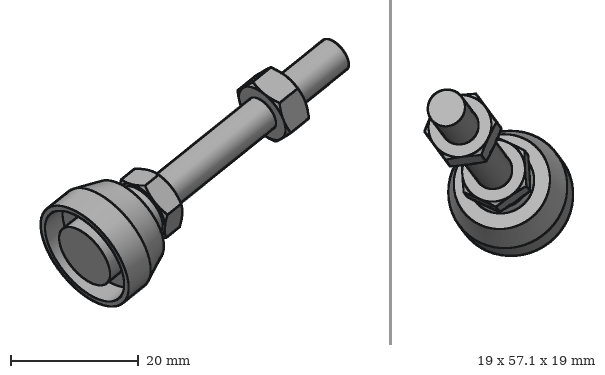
import cadquery as cq
import math

TOTAL_LENGTH = 57.15

PAD_RADIUS = 9.5
PAD_SHOULDER_RADIUS = 7.65
PAD_RIM_HEIGHT = 5.05
PAD_HEIGHT = 10.0
RECESS_RADIUS = 8.5
RECESS_DEPTH = 4.0
BOSS_RADIUS = 5.5

NECK_RADIUS = 4.5
FLARE_RADIUS = 5.15
NECK_START = 11.05
COLLAR_START = 13.05
COLLAR_THICKNESS = 4.0
COLLAR_ANGLE = 3.0
ROD_RADIUS = 3.0

ACROSS_FLATS = 10.0
CORNER_RADIUS = ACROSS_FLATS / math.sqrt(3)
HEX_CHAMFER_ANGLE = 30.0

NUT_START = 40.55
NUT_THICKNESS = 5.05
NUT_ANGLE = 35.0


def revolve_profile(points):
    """Revolve a closed (radius, Y) outline about the Y axis."""
    return cq.Workplane("XY").polyline(points).close().revolve(360, (0, 0, 0), (0, 1, 0))


def cylinder(radius, start, end):
    """Cylinder along Y between two heights."""
    return revolve_profile([(0, start), (radius, start), (radius, end), (0, end)])


def chamfered_hexagon(start, thickness, angle):
    """Hexagonal prism along Y with conically chamfered corners.

    At zero angle a corner points along +Z; a positive angle turns it toward +X.
    """
    prism = (
        cq.Workplane("XZ", origin=(0, start, 0))
        .polygon(6, 2 * CORNER_RADIUS)
        .extrude(-thickness)
        .rotate((0, 0, 0), (0, 1, 0), 30 + angle)
    )
    end = start + thickness
    face_radius = ACROSS_FLATS / 2
    chamfer = (CORNER_RADIUS - face_radius) * math.tan(math.radians(HEX_CHAMFER_ANGLE))
    envelope = revolve_profile([
        (0, start),
        (face_radius, start),
        (CORNER_RADIUS, start + chamfer),
        (CORNER_RADIUS, end - chamfer),
        (face_radius, end),
        (0, end),
    ])
    return prism.intersect(envelope)


def make_stud():
    """Threaded rod with its hexagonal collar, neck and flared base resting on the pad."""
    foot = revolve_profile([
        (0, PAD_HEIGHT),
        (FLARE_RADIUS, PAD_HEIGHT),
        (NECK_RADIUS, NECK_START),
        (NECK_RADIUS, COLLAR_START),
        (0, COLLAR_START),
    ])
    collar = chamfered_hexagon(COLLAR_START, COLLAR_THICKNESS, COLLAR_ANGLE)
    rod = cylinder(ROD_RADIUS, COLLAR_START + COLLAR_THICKNESS, TOTAL_LENGTH)
    return foot.union(collar).union(rod)


def make_pad():
    """Cup-shaped foot pad, with a ring-shaped recess underneath around a central boss."""
    blank = revolve_profile([
        (0, 0),
        (PAD_RADIUS, 0),
        (PAD_RADIUS, PAD_RIM_HEIGHT),
        (PAD_SHOULDER_RADIUS, PAD_HEIGHT),
        (0, PAD_HEIGHT),
    ])
    recess = cylinder(RECESS_RADIUS, 0, RECESS_DEPTH)
    boss = cylinder(BOSS_RADIUS, 0, RECESS_DEPTH)
    return blank.cut(recess.cut(boss))


def make_nut():
    """Loose hexagonal nut on the rod."""
    bore = cylinder(ROD_RADIUS, NUT_START, NUT_START + NUT_THICKNESS)
    return chamfered_hexagon(NUT_START, NUT_THICKNESS, NUT_ANGLE).cut(bore)


stud = make_stud()
pad = make_pad()
nut = make_nut()

result = cq.Compound.makeCompound([stud.val(), pad.val(), nut.val()])